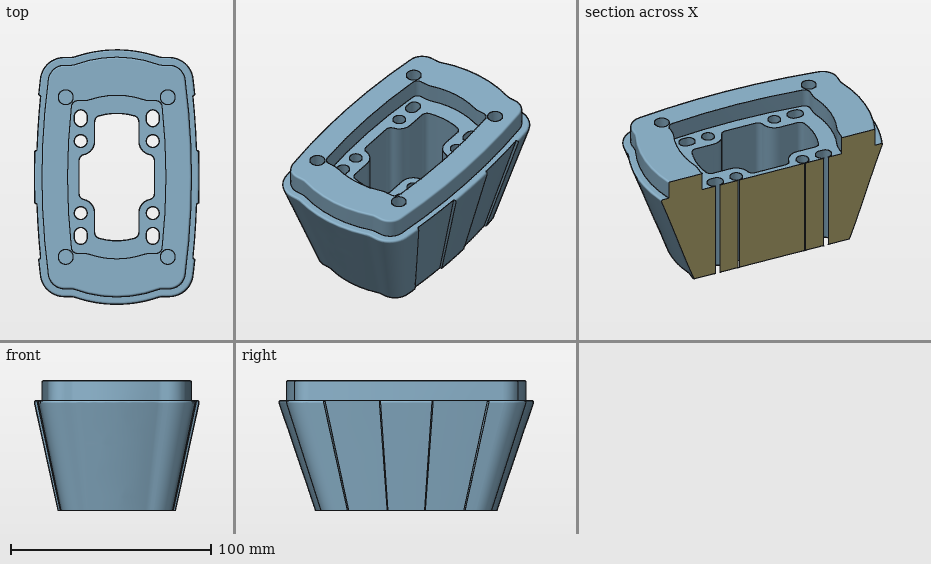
import cadquery as cq
import math

BODY_HEIGHT = 55.0
PLUG_HEIGHT = 10.0
TOTAL_HEIGHT = BODY_HEIGHT + PLUG_HEIGHT
POCKET_DEPTH = PLUG_HEIGHT

BASE_SCALE = 0.708
EDGE_RADIUS = 1.0

BODY_OUTLINE = dict(half_width=41.45, half_length=64.06, shoulder=60.2,
                    side_radius=405.0, corner_radius=12.2, end_radius=64.0, blend_radius=10.0)
PLUG_OUTLINE = dict(half_width=37.38, half_length=59.95, shoulder=55.9,
                    side_radius=375.0, corner_radius=8.2, end_radius=60.2, blend_radius=4.6)
POCKET_OUTLINE = dict(half_width=24.6, half_length=40.9, shoulder=38.2,
                      side_radius=325.0, corner_radius=3.2, end_radius=42.0, blend_radius=10.0)

RECESS_DEPTH = 1.3
RECESS_START = 13.5
RECESS_END = 40.6
RECESS_START_WALL_RUN = 0.6
RECESS_END_WALL_RUN = 1.0

BOLT_DIAMETER = 6.32
BOLT_X = 18.0
BOLT_Y = 18.0
SLOT_Y = 29.4
SLOT_LENGTH = 8.3

CORNER_HOLE_DIAMETER = 7.45
CORNER_HOLE_X = 25.5
CORNER_HOLE_Y = 39.9
CORNER_HOLE_DEPTH = 10.0

LOBE_RADIUS = 7.0
NECK_HALF_WIDTH = BOLT_X - LOBE_RADIUS
OPENING_HALF_WIDTH = 18.8
OPENING_HALF_LENGTH = 31.8
OPENING_END_RADIUS = 32.0
OPENING_CORNER_RADIUS = 3.0
NECK_CORNER_RADIUS = 3.0


def point_toward(start, end, distance):
    """Point at a distance from start along the direction of end."""
    span = math.dist(start, end)
    return (start[0] + (end[0] - start[0]) * distance / span,
            start[1] + (end[1] - start[1]) * distance / span)


def arc_middle(center, radius, start, end):
    """Middle of the short arc between two points of a circle."""
    chord_middle = ((start[0] + end[0]) / 2, (start[1] + end[1]) / 2)
    return point_toward(center, chord_middle, radius)


def mirrored(point, x_sign, y_sign):
    """Point mirrored across the axes whose sign is negative."""
    return (point[0] * x_sign, point[1] * y_sign)


def add_step(wire, middle, end):
    """Continue a wire to end: an arc through middle, or a straight line if middle is None."""
    if middle is None:
        return wire.lineTo(*end)
    return wire.threePointArc(middle, end)


def add_mirrored_steps(wire, steps, x_sign, y_sign):
    for middle, end in steps:
        placed_middle = middle and mirrored(middle, x_sign, y_sign)
        wire = add_step(wire, placed_middle, mirrored(end, x_sign, y_sign))
    return wire


def closed_outline(plane, first_point, steps, end_peak, side_middle=None):
    """Close a quarter outline into a full one, symmetric about X and Y.

    The quarter starts at first_point, where the +Y end arc stops, and follows the
    (middle, end) steps to the +X side. The end arcs pass through end_peak; the sides
    are arcs through side_middle, or straight if it is None.
    """
    last_point = steps[-1][1]
    starts = [first_point] + [end for _, end in steps[:-1]]
    return_steps = [(middle, start) for (middle, _), start in zip(steps, starts)][::-1]

    wire = plane.moveTo(*mirrored(first_point, -1, 1))
    for sign in (1, -1):
        wire = add_mirrored_steps(wire, [(end_peak, first_point)] + steps, sign, sign)
        wire = add_mirrored_steps(wire, [(side_middle, last_point)] + return_steps, sign, -sign)
    return wire.close()


def bulged_outline(plane, outline, scale=1.0):
    """Rounded rectangle with bowed sides and bulged ends, made of tangent arcs."""
    size = {name: value * scale for name, value in outline.items()}
    half_width = size["half_width"]
    half_length = size["half_length"]
    shoulder = size["shoulder"]
    corner_radius = size["corner_radius"]
    blend_radius = size["blend_radius"]

    end_center = (0, half_length - size["end_radius"])
    blend_y = shoulder + blend_radius
    blend_x = math.sqrt((size["end_radius"] + blend_radius) ** 2 - (blend_y - end_center[1]) ** 2)
    blend_center = (blend_x, blend_y)
    bulge_end = point_toward(end_center, blend_center, size["end_radius"])
    blend_end = (blend_x, shoulder)
    blend_middle = arc_middle(blend_center, blend_radius, bulge_end, blend_end)

    side_center = (half_width - size["side_radius"], 0)
    corner_y = shoulder - corner_radius
    corner_reach = size["side_radius"] - corner_radius
    corner_x = side_center[0] + math.sqrt(corner_reach ** 2 - corner_y ** 2)
    corner_center = (corner_x, corner_y)
    corner_start = (corner_x, shoulder)
    corner_end = point_toward(side_center, corner_center, size["side_radius"])
    corner_middle = arc_middle(corner_center, corner_radius, corner_start, corner_end)

    steps = [(blend_middle, blend_end), (None, corner_start), (corner_middle, corner_end)]
    return closed_outline(plane, bulge_end, steps, (0, half_length), (half_width, 0))


def make_body():
    base = bulged_outline(cq.Workplane("XY"), BODY_OUTLINE, BASE_SCALE)
    body = bulged_outline(base.workplane(offset=BODY_HEIGHT), BODY_OUTLINE).loft(ruled=True)
    return body.faces(">Z").edges().fillet(EDGE_RADIUS)


def recess_section(plane, scale, x_sign, y_sign):
    """Cross-section of the material removed by one side recess."""
    floor_radius = BODY_OUTLINE["side_radius"] - RECESS_DEPTH
    center_x = BODY_OUTLINE["half_width"] - BODY_OUTLINE["side_radius"]

    def floor_point(y):
        return (center_x + math.sqrt(floor_radius ** 2 - y ** 2), y)

    def place(point):
        x, y = mirrored(point, x_sign, y_sign)
        return (x * scale, y * scale)

    start = floor_point(RECESS_START)
    middle = floor_point((RECESS_START + RECESS_END) / 2)
    end = floor_point(RECESS_END)
    outer_start = (start[0] + 2 * RECESS_DEPTH, start[1] - 2 * RECESS_START_WALL_RUN)
    outer_end = (end[0] + 2 * RECESS_DEPTH, end[1] + 2 * RECESS_END_WALL_RUN)
    section = plane.moveTo(*place(start)).threePointArc(place(middle), place(end))
    return section.lineTo(*place(outer_end)).lineTo(*place(outer_start)).close()


def make_recess(x_sign, y_sign):
    base = recess_section(cq.Workplane("XY"), BASE_SCALE, x_sign, y_sign)
    top_plane = base.workplane(offset=BODY_HEIGHT)
    return recess_section(top_plane, 1.0, x_sign, y_sign).loft(ruled=True)


def make_plug():
    plane = cq.Workplane("XY").workplane(offset=BODY_HEIGHT)
    plug = bulged_outline(plane, PLUG_OUTLINE).extrude(PLUG_HEIGHT)
    return plug.faces(">Z").edges().fillet(EDGE_RADIUS)


def make_pocket():
    plane = cq.Workplane("XY").workplane(offset=TOTAL_HEIGHT)
    return bulged_outline(plane, POCKET_OUTLINE).extrude(-POCKET_DEPTH)


def make_opening():
    end_center = (0, OPENING_HALF_LENGTH - OPENING_END_RADIUS)
    neck_x = NECK_HALF_WIDTH - NECK_CORNER_RADIUS
    neck_y = end_center[1] + math.sqrt((OPENING_END_RADIUS - NECK_CORNER_RADIUS) ** 2 - neck_x ** 2)
    neck_center = (neck_x, neck_y)
    end_arc_end = point_toward(end_center, neck_center, OPENING_END_RADIUS)
    neck_start = (NECK_HALF_WIDTH, neck_y)
    neck_middle = arc_middle(neck_center, NECK_CORNER_RADIUS, end_arc_end, neck_start)

    bolt_center = (BOLT_X, BOLT_Y)
    lobe_start = (NECK_HALF_WIDTH, BOLT_Y)
    corner_x = OPENING_HALF_WIDTH - OPENING_CORNER_RADIUS
    corner_drop = math.sqrt((LOBE_RADIUS + OPENING_CORNER_RADIUS) ** 2 - (BOLT_X - corner_x) ** 2)
    corner_center = (corner_x, BOLT_Y - corner_drop)
    lobe_end = point_toward(bolt_center, corner_center, LOBE_RADIUS)
    lobe_middle = arc_middle(bolt_center, LOBE_RADIUS, lobe_start, lobe_end)
    side_start = (OPENING_HALF_WIDTH, corner_center[1])
    corner_middle = arc_middle(corner_center, OPENING_CORNER_RADIUS, lobe_end, side_start)

    steps = [(neck_middle, neck_start), (None, lobe_start),
             (lobe_middle, lobe_end), (corner_middle, side_start)]
    outline = closed_outline(cq.Workplane("XY"), end_arc_end, steps, (0, OPENING_HALF_LENGTH))
    return outline.extrude(TOTAL_HEIGHT)


def four_corners(x, y):
    return [(x_sign * x, y_sign * y) for x_sign in (1, -1) for y_sign in (1, -1)]


def make_bolt_holes():
    plane = cq.Workplane("XY")
    holes = plane.pushPoints(four_corners(BOLT_X, BOLT_Y)).circle(BOLT_DIAMETER / 2).extrude(TOTAL_HEIGHT)
    slots = plane.pushPoints(four_corners(BOLT_X, SLOT_Y)).slot2D(SLOT_LENGTH, BOLT_DIAMETER, 90)
    return holes.union(slots.extrude(TOTAL_HEIGHT))


def make_corner_holes():
    plane = cq.Workplane("XY").workplane(offset=TOTAL_HEIGHT)
    holes = plane.pushPoints(four_corners(CORNER_HOLE_X, CORNER_HOLE_Y))
    return holes.circle(CORNER_HOLE_DIAMETER / 2).extrude(-CORNER_HOLE_DEPTH)


body = make_body()
for x_sign, y_sign in four_corners(1, 1):
    body = body.cut(make_recess(x_sign, y_sign))

result = body.union(make_plug())
for cutter in (make_pocket(), make_opening(), make_bolt_holes(), make_corner_holes()):
    result = result.cut(cutter)